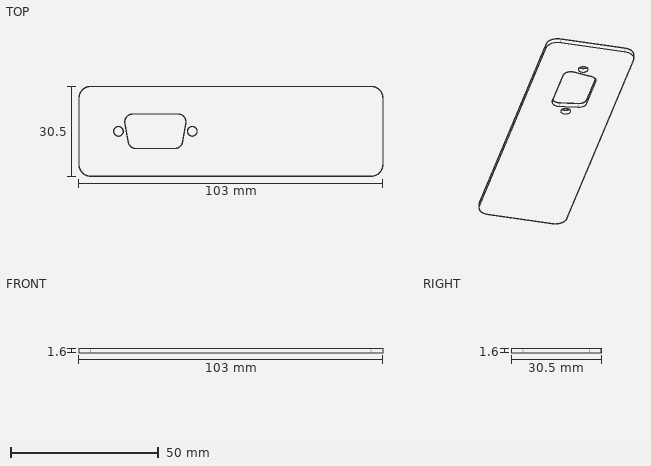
import cadquery as cq
import math

plate_length = 103.0
plate_width = 30.5
plate_thickness = 1.6
plate_corner_radius = 4.0

connector_x = -25.6
connector_y = 0.0
opening_mid_width = 19.6
opening_height = 11.6
opening_side_angle = 10.0
opening_corner_radius = 2.6
screw_hole_diameter = 3.2
screw_hole_spacing = 25.0


def make_plate():
    """Flat rectangular plate with rounded vertical corners."""
    plate = cq.Workplane("XY").box(
        plate_length, plate_width, plate_thickness, centered=(True, True, False)
    )
    return plate.edges("|Z").fillet(plate_corner_radius)


def make_connector_opening():
    """Rounded trapezoid prism, wider towards +Y, its sides leaning by the side angle."""
    half_height = opening_height / 2
    lean = half_height * math.tan(math.radians(opening_side_angle))
    half_top = opening_mid_width / 2 + lean
    half_bottom = opening_mid_width / 2 - lean
    corners = [
        (-half_top, half_height),
        (half_top, half_height),
        (half_bottom, -half_height),
        (-half_bottom, -half_height),
    ]
    prism = cq.Workplane("XY").polyline(corners).close().extrude(plate_thickness)
    prism = prism.edges("|Z").fillet(opening_corner_radius)
    return prism.translate((connector_x, connector_y, 0))


def make_screw_holes():
    """Two through-hole cylinders, spaced evenly about the connector opening."""
    half_spacing = screw_hole_spacing / 2
    return (
        cq.Workplane("XY")
        .center(connector_x, connector_y)
        .pushPoints([(-half_spacing, 0), (half_spacing, 0)])
        .circle(screw_hole_diameter / 2)
        .extrude(plate_thickness)
    )


result = make_plate().cut(make_connector_opening()).cut(make_screw_holes())